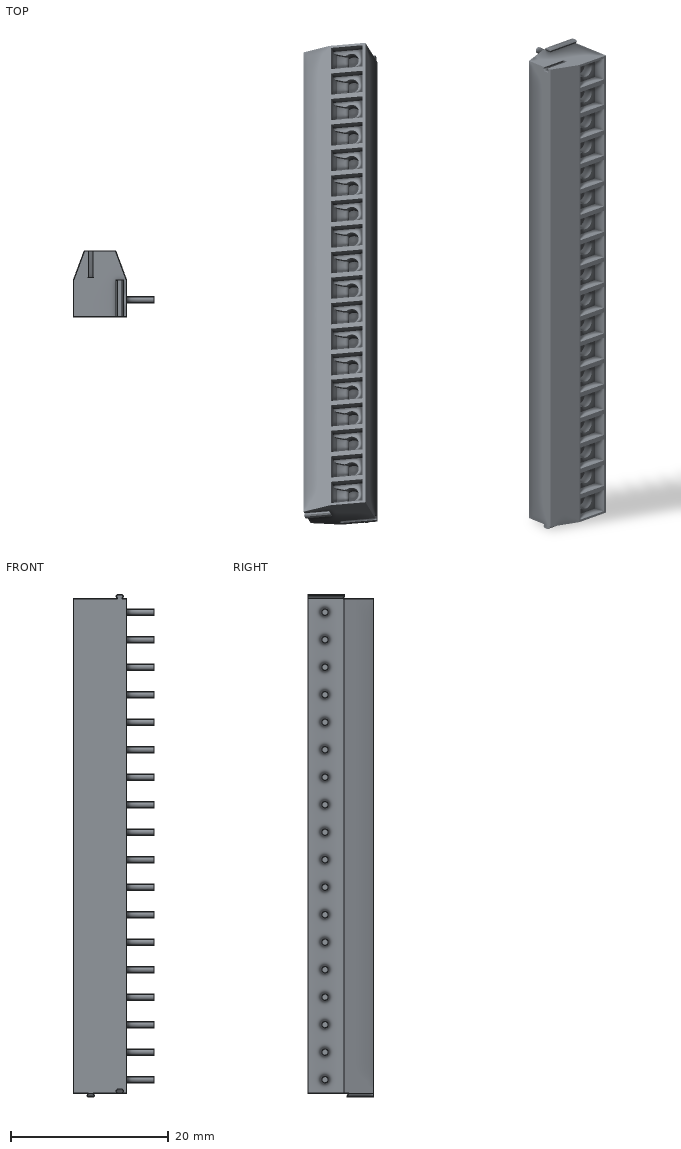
import math

import cadquery as cq

positions = 18
pitch = 3.5

body_depth = 6.8
body_height = 8.4
body_length = positions * pitch
shoulder_height = 4.64
crown_inset = 1.4

pin_diameter = 0.8
pin_length = 3.5
pin_height = 2.2

pocket_width = 2.9
pocket_depth = 1.4
pocket_low_mouth = 0.4
pocket_low_floor = 0.65
pocket_high = 4.47

hole_diameter = 1.95
hole_height = 2.18

window_depth = 0.5
window_high = 4.4
window_floor_high = 4.12
window_wide = 2.3
window_narrow = 1.55

lip_height = 3.1
lip_radius = 0.4
hole_depth = window_depth + 2 * lip_radius

neck_width = 0.6
waist_width = 1.0
waist_depth = 0.3
rib_depth = 0.48
rib_end_undercut = 0.2
groove_depth = 0.55
low_joint_x = body_depth - 0.88
low_joint_length = 4.7
high_joint_x = 2.22
high_joint_length = 3.4

body_bottom = -body_length / 2
body_top = body_length / 2


def make_body():
    return (
        cq.Workplane("XY", origin=(0, 0, body_bottom))
        .lineTo(body_depth, 0)
        .lineTo(body_depth, shoulder_height)
        .lineTo(body_depth - crown_inset, body_height)
        .lineTo(crown_inset, body_height)
        .lineTo(0, shoulder_height)
        .close()
        .extrude(body_length)
    )


def make_pocket():
    return (
        cq.Workplane("XY")
        .moveTo(0, pocket_low_mouth)
        .lineTo(pocket_depth, pocket_low_floor)
        .lineTo(pocket_depth, pocket_high)
        .lineTo(0, pocket_high)
        .close()
        .extrude(pocket_width / 2, both=True)
    )


def make_wire_opening():
    """Keyhole recess in the pocket floor: tapered window, round hole and the clamp lip between them."""
    floor = cq.Workplane("YZ", origin=(pocket_depth, 0, 0))
    hole = floor.center(hole_height, 0).circle(hole_diameter / 2).extrude(hole_depth)
    window = (
        floor.moveTo(hole_height, -window_narrow / 2)
        .lineTo(lip_height, -window_narrow / 2)
        .lineTo(window_high, -window_wide / 2)
        .lineTo(window_high, window_wide / 2)
        .lineTo(lip_height, window_narrow / 2)
        .lineTo(hole_height, window_narrow / 2)
        .close()
        .extrude(hole_depth)
    )
    window_floor_x = pocket_depth + window_depth
    hole_floor_x = pocket_depth + hole_depth
    side = (
        cq.Workplane("XY")
        .moveTo(pocket_depth, 0)
        .lineTo(pocket_depth, window_high)
        .lineTo(window_floor_x, window_floor_high)
        .lineTo(window_floor_x, lip_height)
        .threePointArc((window_floor_x + lip_radius, lip_height - lip_radius), (hole_floor_x, lip_height))
        .lineTo(hole_floor_x, 0)
        .close()
        .extrude(pocket_width / 2, both=True)
    )
    return hole.union(window).intersect(side)


def make_pin():
    return (
        cq.Workplane("YZ", origin=(body_depth, pin_height, 0))
        .circle(pin_diameter / 2)
        .extrude(pin_length)
    )


def joint_bar(x, base_z, depth, y_open, y_end):
    """Bar from y_open to y_end: narrow at base_z, widest at its waist; signed depth runs along Z."""
    waist_z = math.copysign(waist_depth, depth)
    return (
        cq.Workplane("XZ", origin=(x, y_open, base_z))
        .moveTo(-neck_width / 2, 0)
        .lineTo(neck_width / 2, 0)
        .lineTo(waist_width / 2, waist_z)
        .lineTo(neck_width / 2, depth)
        .lineTo(-neck_width / 2, depth)
        .lineTo(-waist_width / 2, waist_z)
        .close()
        .extrude(y_open - y_end)
    )


def make_rib(x, base_z, depth, y_open, y_end):
    """Joint bar whose closed end is undercut from the waist back to the neck."""
    waist_z = math.copysign(waist_depth, depth)
    neck_end = y_end - math.copysign(rib_end_undercut, y_end - y_open)
    undercut = (
        cq.Workplane("YZ", origin=(x, 0, base_z))
        .moveTo(neck_end, 0)
        .lineTo(y_end, waist_z)
        .lineTo(y_end, 0)
        .close()
        .extrude(waist_width / 2, both=True)
    )
    return joint_bar(x, base_z, depth, y_open, y_end).cut(undercut)


pocket = make_pocket()
wire_opening = make_wire_opening()
pin = make_pin()
high_joint_end = body_height - high_joint_length

result = make_body()
for i in range(positions):
    offset = (0, 0, body_bottom + (i + 0.5) * pitch)
    result = result.cut(pocket.translate(offset))
    result = result.cut(wire_opening.translate(offset))
    result = result.union(pin.translate(offset))

result = result.union(make_rib(low_joint_x, body_top, rib_depth, 0, low_joint_length))
result = result.union(make_rib(high_joint_x, body_bottom, -rib_depth, body_height, high_joint_end))
result = result.cut(joint_bar(low_joint_x, body_bottom, groove_depth, 0, low_joint_length))
result = result.cut(joint_bar(high_joint_x, body_top, -groove_depth, body_height, high_joint_end))